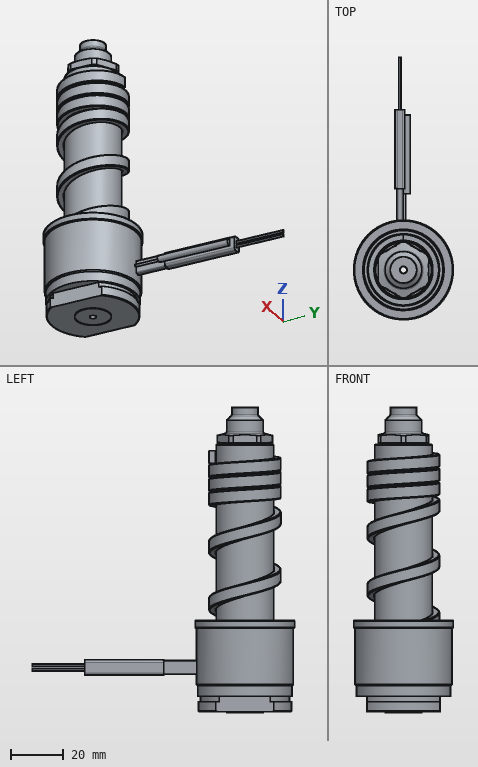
import cadquery as cq
import math

TOTAL_HEIGHT = 116.2
NUB_TOP = 0.3
DISC_TOP = 4.2
NECK_TOP = 6.2
SKIRT_TOP = 10.2
COLLAR_BOTTOM = 32.1
COLLAR_TOP = 35.2
TUBE_TOP = 102.2
HEX_BOTTOM = 102.8

NUB_RADIUS = 7.0
DISC_RADIUS = 17.8
NECK_RADIUS = 17.0
SKIRT_RADIUS = 18.0
BODY_RADIUS = 18.5
COLLAR_RADIUS = 19.0
COLLAR_CHAMFER = 0.35
BODY_STEP_CHAMFER = BODY_RADIUS - SKIRT_RADIUS
DISC_CHAMFER = 0.3
BASE_FLAT_WIDTH = 27.9
POCKET_RADIUS = 15.0
POCKET_CHAMFER = 0.5

BORE_DIAMETER = 2.6
TUBE_RADIUS = 11.0
TUBE_CHAMFER = 0.4
HEX_ACROSS_FLATS = 19.2
HEX_CORNER_RADIUS = 10.6
HEX_CORNER_Z = 105.5
HEX_CONE_ANGLE = math.radians(15)
SHOULDER_RADIUS = 7.0
SHOULDER_TOP = 111.3
SHOULDER_BLEND = 0.45
TIP_RADIUS = 5.0
TIP_BLEND = 0.4

SPRING_OUTER_RADIUS = 13.75
SPRING_CLEARANCE = 0.25
SPRING_INNER_RADIUS = TUBE_RADIUS + SPRING_CLEARANCE
SPRING_WIRE_HEIGHT = 4.85
SPRING_CHAMFER = 0.35
SPRING_TOP = 99.75
CLOSED_PITCH = 5.33
OPEN_PITCH = 21.75
CLOSED_TURNS = 3.0
TRANSITION_TURNS = 0.43
OPEN_TURNS = 1.94
SPRING_POINTS_PER_TURN = 16
SPRING_TURNS = 2 * (CLOSED_TURNS + TRANSITION_TURNS) + OPEN_TURNS
SPRING_SEAT_DEPTH = 0.2

LEAD_X = -1.37
LEAD_Z = 17.2
LEAD_ROOT_Y = POCKET_RADIUS + 1.0
CABLE_WIDTH = 2.4
CABLE_HEIGHT = 5.3
CABLE_FILLET = 0.4
SLEEVE_START = 31.0
SLEEVE_LENGTH = 30.0
SLEEVE_WIDTH = 3.8
SLEEVE_HEIGHT = 5.9
SLEEVE_FILLET = 0.9
WIRE_RADIUS = 0.5
WIRE_SPACING = 1.75
WIRE_END = 81.0
GROUND_WIRE_X = 0.4
GROUND_SLEEVE_X = 1.25
GROUND_SLEEVE_RADIUS = 1.35
GROUND_SLEEVE_START = 29.0
GROUND_Z = 17.4


def spring_drop(turn):
    """Distance the spring has descended after the given number of turns."""
    half_turns = SPRING_TURNS / 2
    if turn > half_turns:
        return 2 * spring_drop(half_turns) - spring_drop(2 * half_turns - turn)
    past_closed = max(0.0, turn - CLOSED_TURNS)
    in_transition = min(past_closed, TRANSITION_TURNS)
    in_open = past_closed - in_transition
    extra_pitch = OPEN_PITCH - CLOSED_PITCH
    extra_drop = extra_pitch * (in_transition**2 / (2 * TRANSITION_TURNS) + in_open)
    return CLOSED_PITCH * turn + extra_drop


def cup():
    """Turned cup with a collar, an open pocket and two wrench flats at its base."""
    pocket_floor = SPRING_TOP - spring_drop(SPRING_TURNS) - SPRING_WIRE_HEIGHT + SPRING_SEAT_DEPTH
    outline = (
        cq.Workplane("XZ")
        .moveTo(0, 0)
        .lineTo(NUB_RADIUS, 0)
        .lineTo(NUB_RADIUS, NUB_TOP)
        .lineTo(DISC_RADIUS - DISC_CHAMFER, NUB_TOP)
        .lineTo(DISC_RADIUS, NUB_TOP + DISC_CHAMFER)
        .lineTo(DISC_RADIUS, DISC_TOP)
        .lineTo(NECK_RADIUS, DISC_TOP)
        .lineTo(NECK_RADIUS, NECK_TOP)
        .lineTo(SKIRT_RADIUS, NECK_TOP)
        .lineTo(SKIRT_RADIUS, SKIRT_TOP)
        .lineTo(BODY_RADIUS, SKIRT_TOP + BODY_STEP_CHAMFER)
        .lineTo(BODY_RADIUS, COLLAR_BOTTOM)
        .lineTo(COLLAR_RADIUS - COLLAR_CHAMFER, COLLAR_BOTTOM)
        .lineTo(COLLAR_RADIUS, COLLAR_BOTTOM + COLLAR_CHAMFER)
        .lineTo(COLLAR_RADIUS, COLLAR_TOP - COLLAR_CHAMFER)
        .lineTo(COLLAR_RADIUS - COLLAR_CHAMFER, COLLAR_TOP)
        .lineTo(POCKET_RADIUS + POCKET_CHAMFER, COLLAR_TOP)
        .lineTo(POCKET_RADIUS, COLLAR_TOP - POCKET_CHAMFER)
        .lineTo(POCKET_RADIUS, pocket_floor)
        .lineTo(0, pocket_floor)
        .close()
    )
    body = outline.revolve(360, (0, 0, 0), (0, 1, 0))
    base_slab = cq.Workplane("XY").box(
        BASE_FLAT_WIDTH, 2 * COLLAR_RADIUS, NECK_TOP, centered=(True, True, False)
    )
    upper_keep = (
        cq.Workplane("XY")
        .workplane(offset=NECK_TOP)
        .circle(COLLAR_RADIUS)
        .extrude(COLLAR_TOP - NECK_TOP)
    )
    return body.intersect(base_slab.union(upper_keep))


def tube():
    """Tube rising from the pocket floor, with a short neck that carries the hexagon."""
    neck_radius = HEX_ACROSS_FLATS / 2
    outline = (
        cq.Workplane("XZ")
        .moveTo(0, NECK_TOP)
        .lineTo(TUBE_RADIUS, NECK_TOP)
        .lineTo(TUBE_RADIUS, TUBE_TOP - TUBE_CHAMFER)
        .lineTo(TUBE_RADIUS - TUBE_CHAMFER, TUBE_TOP)
        .lineTo(neck_radius, TUBE_TOP)
        .lineTo(neck_radius, HEX_BOTTOM)
        .lineTo(0, HEX_BOTTOM)
        .close()
    )
    return outline.revolve(360, (0, 0, 0), (0, 1, 0))


def hexagon_and_tip():
    """Hexagon with a conical top, rising through a blended shoulder to a slim tip."""
    cone_slope = math.tan(HEX_CONE_ANGLE)
    shoulder_foot = HEX_CORNER_Z + (HEX_CORNER_RADIUS - SHOULDER_RADIUS) * cone_slope
    shoulder_blend_end = (
        SHOULDER_RADIUS + SHOULDER_BLEND * math.cos(HEX_CONE_ANGLE),
        shoulder_foot - SHOULDER_BLEND * math.sin(HEX_CONE_ANGLE),
    )
    tip_foot = SHOULDER_TOP + SHOULDER_RADIUS - TIP_RADIUS
    tip_blend_leg = TIP_BLEND * math.sin(math.radians(45))
    outline = (
        cq.Workplane("XZ")
        .moveTo(0, TOTAL_HEIGHT)
        .lineTo(TIP_RADIUS, TOTAL_HEIGHT)
        .lineTo(TIP_RADIUS, tip_foot + TIP_BLEND)
        .tangentArcPoint((TIP_RADIUS + tip_blend_leg, tip_foot - tip_blend_leg), relative=False)
        .lineTo(SHOULDER_RADIUS, SHOULDER_TOP)
        .lineTo(SHOULDER_RADIUS, shoulder_foot + SHOULDER_BLEND)
        .tangentArcPoint(shoulder_blend_end, relative=False)
        .lineTo(HEX_CORNER_RADIUS, HEX_CORNER_Z)
        .lineTo(HEX_CORNER_RADIUS, HEX_BOTTOM)
        .lineTo(0, HEX_BOTTOM)
        .close()
    )
    turned = outline.revolve(360, (0, 0, 0), (0, 1, 0))
    across_corners = HEX_ACROSS_FLATS / math.cos(math.radians(30))
    prism = (
        cq.Workplane("XY")
        .workplane(offset=HEX_BOTTOM)
        .transformed(rotate=(0, 0, 30))
        .polygon(6, across_corners)
        .extrude(TOTAL_HEIGHT - HEX_BOTTOM)
    )
    return turned.intersect(prism)


def spring_edge(radius, height_offset):
    """Curve traced along the spring by one corner of its wire section."""
    steps = round(SPRING_TURNS * SPRING_POINTS_PER_TURN)
    points = []
    for step in range(steps + 1):
        turn = SPRING_TURNS * step / steps
        angle = math.pi / 2 - 2 * math.pi * turn
        z = SPRING_TOP - height_offset - spring_drop(turn)
        points.append(cq.Vector(radius * math.cos(angle), radius * math.sin(angle), z))
    return cq.Edge.makeSpline(points)


def spring():
    """Rectangular-wire spring starting at +Y and descending clockwise seen from above."""
    chamfered_radius = SPRING_OUTER_RADIUS - SPRING_CHAMFER
    section_corners = [
        (SPRING_INNER_RADIUS, 0),
        (chamfered_radius, 0),
        (SPRING_OUTER_RADIUS, SPRING_CHAMFER),
        (SPRING_OUTER_RADIUS, SPRING_WIRE_HEIGHT - SPRING_CHAMFER),
        (chamfered_radius, SPRING_WIRE_HEIGHT),
        (SPRING_INNER_RADIUS, SPRING_WIRE_HEIGHT),
    ]
    edges = [spring_edge(radius, offset) for radius, offset in section_corners]
    next_edges = edges[1:] + edges[:1]
    faces = [cq.Face.makeRuledSurface(edge, after) for edge, after in zip(edges, next_edges)]
    starts = [edge.startPoint() for edge in edges]
    ends = [edge.endPoint() for edge in edges]
    for corners in (starts, ends):
        faces.append(cq.Face.makeFromWires(cq.Wire.makePolygon(corners, close=True)))
    return cq.Workplane("XY").newObject([cq.Solid.makeSolid(cq.Shell.makeShell(faces))])


def rounded_bar(start_y, end_y, width, height, fillet):
    """Bar along Y with rounded long edges, centred on the main lead."""
    length = end_y - start_y
    return (
        cq.Workplane("XY")
        .box(width, length, height)
        .edges("|Y")
        .fillet(fillet)
        .translate((LEAD_X, start_y + length / 2, LEAD_Z))
    )


def rod(start_y, end_y, x, z, radius):
    """Round rod along Y."""
    return (
        cq.Workplane("XZ", origin=(x, start_y, z))
        .circle(radius)
        .extrude(start_y - end_y)
    )


def leads():
    """Main cable with its sleeve and two bare wires, beside a sleeved ground wire."""
    sleeve_end = SLEEVE_START + SLEEVE_LENGTH
    ground_end = GROUND_SLEEVE_START + SLEEVE_LENGTH
    parts = rounded_bar(LEAD_ROOT_Y, sleeve_end, CABLE_WIDTH, CABLE_HEIGHT, CABLE_FILLET)
    parts = parts.union(
        rounded_bar(SLEEVE_START, sleeve_end, SLEEVE_WIDTH, SLEEVE_HEIGHT, SLEEVE_FILLET)
    )
    for side in (-1, 1):
        wire_z = LEAD_Z + side * WIRE_SPACING / 2
        parts = parts.union(rod(SLEEVE_START, WIRE_END, LEAD_X, wire_z, WIRE_RADIUS))
    parts = parts.union(rod(LEAD_ROOT_Y, ground_end, GROUND_WIRE_X, GROUND_Z, WIRE_RADIUS))
    return parts.union(
        rod(GROUND_SLEEVE_START, ground_end, GROUND_SLEEVE_X, GROUND_Z, GROUND_SLEEVE_RADIUS)
    )


bore = cq.Workplane("XY").circle(BORE_DIAMETER / 2).extrude(TOTAL_HEIGHT)

result = cup().union(tube()).union(hexagon_and_tip()).union(leads()).union(spring()).cut(bore)